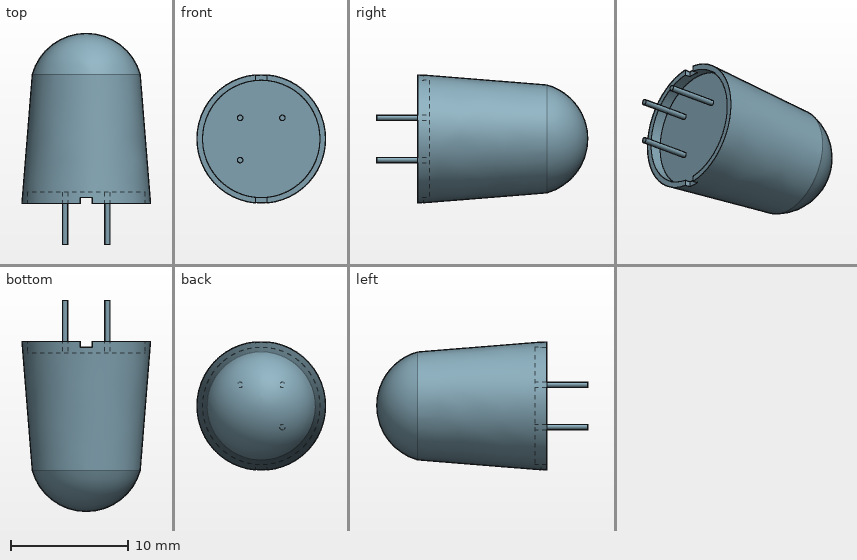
import cadquery as cq

total_length = 18.0
pin_length = 3.5
dome_height = 3.5
body_length = total_length - pin_length - dome_height
rim_radius = 5.49
shoulder_radius = 4.6

recess_radius = 5.0
recess_depth = 1.0
notch_width = 1.0
notch_depth = 0.5

pin_diameter = 0.47
pin_offset = 1.8
pin_corners = [(-1, -1), (-1, 1), (1, 1)]


def cylinder_along_y(x, z, radius, y_start, length):
    return cq.Workplane(cq.Solid.makeCylinder(
        radius, length, cq.Vector(x, y_start, z), cq.Vector(0, 1, 0)))


def make_shell():
    """Tapered body closed by a spherical dome, with its rim at Y = 0."""
    dome_radius = (shoulder_radius**2 + dome_height**2) / (2 * dome_height)
    tip_y = body_length + dome_height
    dome_center_y = tip_y - dome_radius
    mid_y = body_length + dome_height / 2
    mid_radius = (dome_radius**2 - (mid_y - dome_center_y)**2) ** 0.5
    return (
        cq.Workplane("YZ")
        .moveTo(0, 0)
        .lineTo(0, rim_radius)
        .lineTo(body_length, shoulder_radius)
        .threePointArc((mid_y, mid_radius), (tip_y, 0))
        .close()
        .revolve(360, (0, 0, 0), (1, 0, 0))
    )


result = make_shell()

result = result.cut(cylinder_along_y(0, 0, recess_radius, 0, recess_depth))

notches = cq.Workplane("XY").box(
    notch_width, notch_depth, 2 * rim_radius, centered=(True, False, True))
result = result.cut(notches)

for x_side, z_side in pin_corners:
    result = result.union(cylinder_along_y(
        x_side * pin_offset, z_side * pin_offset, pin_diameter / 2,
        -pin_length, pin_length + recess_depth))